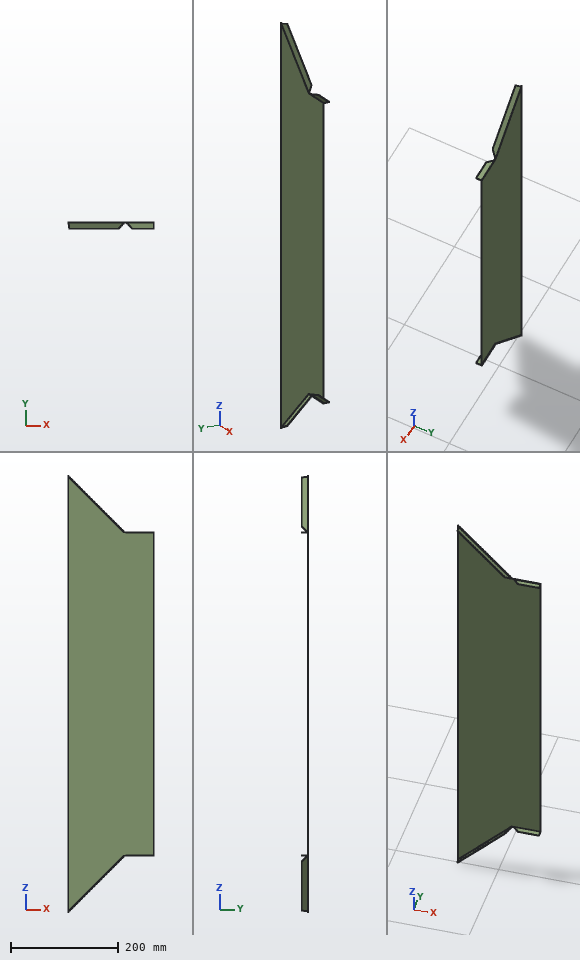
import cadquery as cq
import math

length = 814.0
width = 160.0
depth = 12.0
sheet = 1.0
slope_run = 105.0
tip_setback = 2.0
tip_taper = 2.5
corner_gap = 4.0
corner_bevel = 10.5

half_length = length / 2
shoulder = half_length - slope_run
slope_length = slope_run * math.sqrt(2)
slope_bevel = corner_bevel * math.sqrt(2)
straight_length = width - slope_run


def flange(start, direction, outline):
    """Extrude a flange outline, drawn as (distance along edge, depth), inward by one sheet thickness."""
    edge_x, edge_z = direction
    inward = (edge_z, 0, -edge_x)
    plane = cq.Plane(origin=(start[0], 0, start[1]), xDir=(edge_x, 0, edge_z), normal=inward)
    return cq.Workplane(plane).polyline(outline).close().extrude(sheet)


plate = (
    cq.Workplane("XZ")
    .polyline([
        (0, -half_length),
        (0, half_length),
        (slope_run, shoulder),
        (width, shoulder),
        (width, -shoulder),
        (slope_run, -shoulder),
    ])
    .close()
    .extrude(sheet)
)

slope_direction = (math.sqrt(0.5), -math.sqrt(0.5))
slope_flange = flange(
    (0, half_length),
    slope_direction,
    [
        (tip_setback, 0),
        (slope_length, 0),
        (slope_length, sheet),
        (slope_length - slope_bevel, depth),
        (tip_setback + tip_taper, depth),
    ],
)

straight_flange = flange(
    (slope_run, shoulder),
    (1, 0),
    [
        (corner_gap, 0),
        (straight_length, 0),
        (straight_length, depth),
        (corner_gap + corner_bevel, depth),
        (corner_gap, sheet),
    ],
)

result = plate
for upper_flange in (slope_flange, straight_flange):
    result = result.union(upper_flange).union(upper_flange.mirror("XY"))